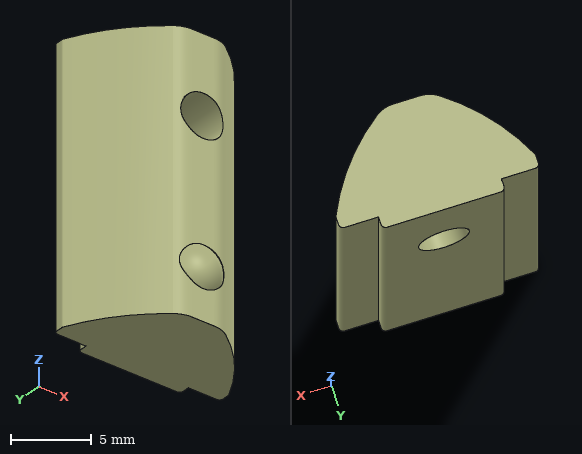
import cadquery as cq
import math

length = 21.0
width = 13.0
body_depth = 7.5
rib_width = 8.0
rib_height = 0.8
flank_start_depth = 1.65
flank_radius = 14.0
flank_start_angle = 65.4
nose_radius = 2.0
corner_radius = 0.3
hole_diameter = 3.3
hole_height = 15.0
ball_radius = 2.0
ball_height = 4.0
ball_protrusion = 0.8

half_width = width / 2
half_rib = rib_width / 2
slope = math.radians(flank_start_angle)
flank_center_x = half_width - flank_radius * math.sin(slope)
flank_center_y = -flank_start_depth + flank_radius * math.cos(slope)

nose_angle = math.acos((body_depth + flank_center_y) / flank_radius)
middle_angle = (slope + nose_angle) / 2


def flank_point(angle, side):
    """Point on the flank where its slope from X is the given angle; side is +1 or -1."""
    x = flank_center_x + flank_radius * math.sin(angle)
    y = flank_center_y - flank_radius * math.cos(angle)
    return (side * x, y)


def round_corners(solid, x, y):
    """Round the pair of long edges at (x, y) and (-x, y)."""
    for side in (-1, 1):
        edge = cq.selectors.NearestToPointSelector((side * x, y, length / 2))
        solid = solid.edges(edge).fillet(corner_radius)
    return solid


def make_body():
    """T-shaped back and curved flanks, extruded along Z, with rounded long edges."""
    profile = (
        cq.Workplane("XY")
        .moveTo(-half_rib, 0)
        .lineTo(half_rib, 0)
        .lineTo(half_rib, -rib_height)
        .lineTo(half_width, -rib_height)
        .lineTo(half_width, -flank_start_depth)
        .threePointArc(flank_point(middle_angle, 1), flank_point(nose_angle, 1))
        .lineTo(*flank_point(nose_angle, -1))
        .threePointArc(flank_point(middle_angle, -1), flank_point(slope, -1))
        .lineTo(-half_width, -rib_height)
        .lineTo(-half_rib, -rib_height)
        .close()
    )
    body = profile.extrude(length)
    body = body.edges("|Z").edges("<Y").fillet(nose_radius)
    body = round_corners(body, half_rib, 0)
    body = round_corners(body, half_width, -rib_height)
    return round_corners(body, half_width, -flank_start_depth)


def make_hole():
    """Cross hole along Y through the whole depth."""
    return (
        cq.Workplane("XZ")
        .center(0, hole_height)
        .circle(hole_diameter / 2)
        .extrude(body_depth)
    )


def make_ball():
    """Ball seated in the nose."""
    center_y = -body_depth - ball_protrusion + ball_radius
    return cq.Workplane("XY").sphere(ball_radius).translate((0, center_y, ball_height))


result = make_body().cut(make_hole()).union(make_ball())